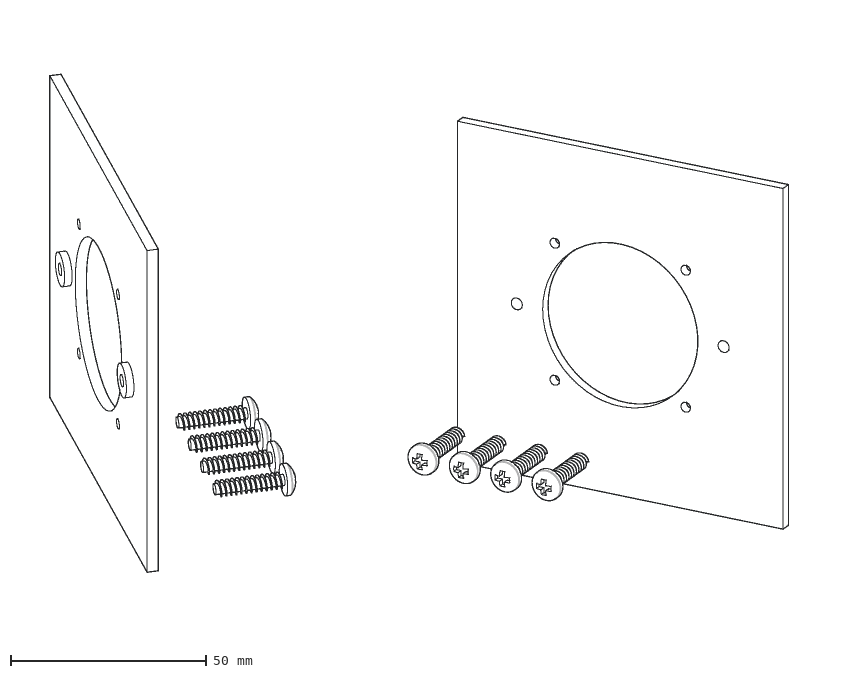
import cadquery as cq
import math

plate_side = 94.5
plate_thickness = 3.0
opening_diameter = 45.0
corner_hole_diameter = 2.7
corner_hole_spacing = 38.0

boss_diameter = 9.0
boss_height = 2.0
boss_hole_diameter = 3.2
boss_spacing = 60.0

screw_count = 4
screw_spacing = 12.0
first_screw_x = 1.6
screw_z = -31.1
overall_depth = 43.81

head_diameter = 8.35
head_rim_height = 1.3
head_edge_radius = 0.35
head_height = 3.1
recess_span = 4.2
recess_arm_width = 1.4
recess_depth = 1.8
shank_length = 18.3
core_diameter = 2.95
thread_diameter = 4.4
thread_pitch = 1.335
thread_turns = 13
thread_start = 0.68
thread_root_width = 0.42
thread_crest_width = 0.1
thread_embed = 0.2

dome_rise = head_height - head_rim_height
dome_radius = ((head_diameter / 2) ** 2 + dome_rise**2) / (2 * dome_rise)
recess_corner_radius = recess_arm_width / math.sqrt(2)


def dome_drop(radius):
    """Depth of the dome surface below its apex at a given distance from the axis."""
    return dome_radius - math.sqrt(dome_radius**2 - radius**2)


apex_y = overall_depth - boss_height + dome_drop(recess_corner_radius)
tip_y = apex_y - head_height - shank_length


def front_workplane():
    """Sketch plane on the plate's front face: local x is X, local y is Z, extruding toward -Y."""
    return cq.Workplane("XZ")


def make_plate():
    boss_centers = [(-boss_spacing / 2, 0), (boss_spacing / 2, 0)]
    slab = front_workplane().rect(plate_side, plate_side).extrude(-plate_thickness)
    bosses = front_workplane().pushPoints(boss_centers).circle(boss_diameter / 2).extrude(boss_height)
    opening = front_workplane().circle(opening_diameter / 2).extrude(-plate_thickness)
    corner_holes = (
        front_workplane()
        .rect(corner_hole_spacing, corner_hole_spacing, forConstruction=True)
        .vertices()
        .circle(corner_hole_diameter / 2)
        .extrude(-plate_thickness)
    )
    boss_holes = (
        front_workplane()
        .workplane(offset=boss_height)
        .pushPoints(boss_centers)
        .circle(boss_hole_diameter / 2)
        .extrude(-(boss_height + plate_thickness))
    )
    return slab.union(bosses).cut(opening).cut(corner_holes).cut(boss_holes)


def make_head():
    """Spherical dome on a short cylindrical rim, seated at z = shank_length, with a cross recess."""
    radius = head_diameter / 2
    rim_top = shank_length + head_rim_height
    apex = shank_length + head_height
    mid_radius = radius / 2
    head = (
        cq.Workplane("XZ")
        .moveTo(0, shank_length)
        .lineTo(radius, shank_length)
        .lineTo(radius, rim_top)
        .threePointArc((mid_radius, apex - dome_drop(mid_radius)), (0, apex))
        .close()
        .revolve(360, (0, 0, 0), (0, 1, 0))
    )
    recess_plane = cq.Workplane("XY").workplane(offset=apex)
    recess = (
        recess_plane.rect(recess_span, recess_arm_width)
        .extrude(-recess_depth)
        .union(recess_plane.rect(recess_arm_width, recess_span).extrude(-recess_depth))
    )
    return head.faces("%SPHERE").edges("%CIRCLE").edges("<Z").fillet(head_edge_radius).cut(recess)


def make_thread():
    """Right-handed tapered ridge wound on the core."""
    root_radius = core_diameter / 2 - thread_embed
    crest_radius = thread_diameter / 2
    helix = cq.Wire.makeHelix(thread_pitch, thread_pitch * thread_turns, core_diameter / 2)
    ridge_section = (
        cq.Workplane("XZ")
        .moveTo(root_radius, -thread_root_width / 2)
        .lineTo(crest_radius, -thread_crest_width / 2)
        .lineTo(crest_radius, thread_crest_width / 2)
        .lineTo(root_radius, thread_root_width / 2)
        .close()
    )
    return ridge_section.sweep(cq.Workplane(helix), isFrenet=True).translate((0, 0, thread_start))


def make_screw():
    """Screw along +Z with its tip at the origin and its thread starting on the +X side."""
    core = cq.Workplane("XY").circle(core_diameter / 2).extrude(shank_length)
    return core.union(make_thread()).union(make_head())


plate = make_plate()

lying_screw = make_screw().rotate((0, 0, 0), (0, 0, 1), 180).rotate((0, 0, 0), (1, 0, 0), -90)
screws = [
    lying_screw.translate((first_screw_x + index * screw_spacing, tip_y, screw_z))
    for index in range(screw_count)
]

result = cq.Compound.makeCompound([plate.val(), *[screw.solids().val() for screw in screws]])